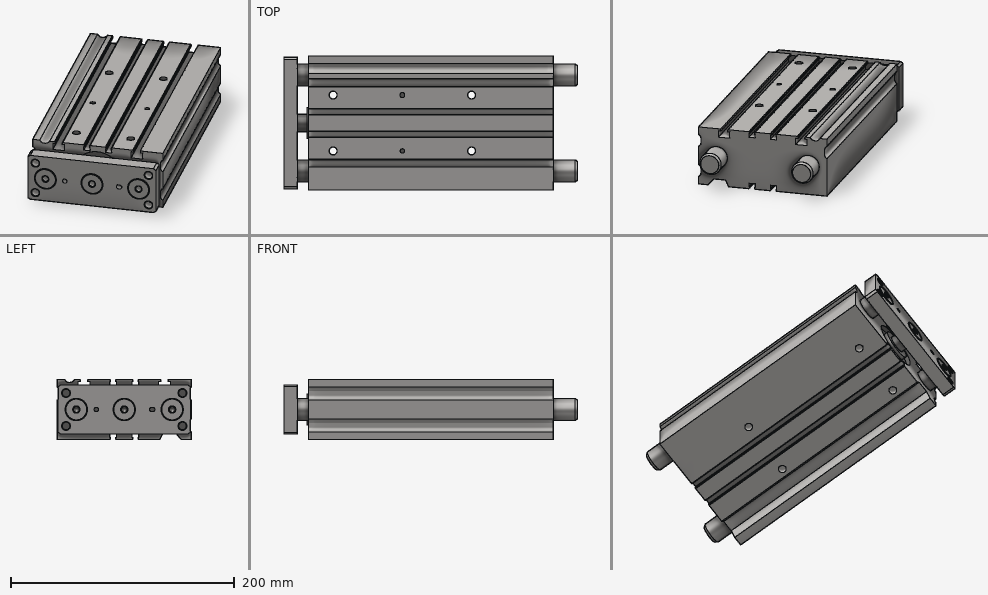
import cadquery as cq
import math

TOTAL_LENGTH = 263.0
HOUSING_WIDTH = 120.0
HOUSING_HEIGHT = 54.0
HOUSING_LENGTH = 219.0
HOUSING_START = 22.0
PLATE_THICKNESS = 12.0
PLATE_WIDTH = 118.0
PLATE_HEIGHT = 44.0
PLATE_CHAMFER_Y = 2.4
PLATE_CHAMFER_Z = 1.5
SIDE_Y = HOUSING_WIDTH / 2
TOP_Z = HOUSING_HEIGHT / 2

GUIDE_Y = 43.0
GUIDE_DIAMETER = 20.0
TAIL_CHAMFER_LENGTH = 2.4
TAIL_CHAMFER_DEPTH = 1.5
FACE_CHAMFER = 0.65
PISTON_DIAMETER = 16.0
PISTON_BORE_DEPTH = 26.3
COLLAR_DIAMETER = 28.0
COLLAR_PROTRUSION = 1.3
COLLAR_RECESS_DIAMETER = 43.1
COLLAR_RECESS_DEPTH = 4.0
COLLAR_SEAT = HOUSING_START + COLLAR_RECESS_DEPTH

SOCKET_DIAMETER = 5.3
SOCKET_CHAMFER = 0.65
SOCKET_DEPTH = 10.5
SOCKET_TIP_ANGLE = 118.0

CORNER_HOLE_Y = 52.0
CORNER_HOLE_Z = 14.7
CORNER_HOLE_DIAMETER = 6.8
CORNER_HOLE_CHAMFER = 0.5

MOUNTING_Y = 25.0
MOUNTING_DIAMETER = 6.8
MOUNTING_START = 22.0
MOUNTING_SPACING = 124.0
PIN_DIAMETER = 4.0
PIN_SLOT_LENGTH = 4.7
PIN_DEPTH = 6.0

SLOT_LIP = 1.97
SLOT_LIP_CHAMFER = 0.65
SENSOR_SLOT_Y = 10.0
SENSOR_SLOT_OPENING = 4.7
SENSOR_SLOT_WIDTH = 5.8
SENSOR_SLOT_DEPTH = 5.3
NUT_SLOT_Y = 36.0
NUT_SLOT_OPENING = 6.3
NUT_SLOT_WIDTH = 10.5
NUT_SLOT_DEPTH = 8.0

SIDE_GROOVE_Z = 14.2
SIDE_GROOVE_MOUTH = 11.5
SIDE_GROOVE_SHOULDER = 10.3
SIDE_GROOVE_FLOOR = 4.0
SIDE_GROOVE_LIP = 0.8
SIDE_GROOVE_DEPTH = 2.24

TOP_GROOVE_OUTER_Y = 53.5
TOP_GROOVE_SHOULDER_Y = 52.0
TOP_GROOVE_FLOOR_OUTER_Y = 49.7
TOP_GROOVE_FLOOR_INNER_Y = 49.0
TOP_GROOVE_INNER_Y = 44.2
TOP_GROOVE_LIP = 1.5
TOP_GROOVE_DEPTH = 2.5

CHANNEL_MOUTH = (-31.8, -51.0)
CHANNEL_FLOOR = (-34.7, -45.8)
CHANNEL_DEPTH = 6.0


def cylinder(diameter, start, end, y=0.0):
    """A cylinder along X, centred on z = 0."""
    return cq.Workplane("YZ", origin=(start, y, 0)).circle(diameter / 2).extrude(end - start)


def through_housing(outline):
    """Extrude a closed outline, drawn in Y and Z, over the housing length."""
    return outline.close().extrude(HOUSING_LENGTH)


def housing_section():
    return cq.Workplane("YZ", origin=(HOUSING_START, 0, 0))


def tee_slot(y, opening, width, depth, face, chamfers=(SLOT_LIP_CHAMFER, SLOT_LIP_CHAMFER)):
    """A T-slot in the top (face = 1) or bottom (face = -1); chamfers are for the -Y and +Y lips."""
    half_opening = opening / 2
    half_width = width / 2
    surface = face * TOP_Z
    lip = face * (TOP_Z - SLOT_LIP)
    floor = face * (TOP_Z - depth)
    low_chamfer, high_chamfer = chamfers
    outline = [(y - half_opening - low_chamfer, surface)]
    if low_chamfer > 0:
        outline.append((y - half_opening, surface - face * low_chamfer))
    outline += [
        (y - half_opening, lip),
        (y - half_width, lip),
        (y - half_width, floor),
        (y + half_width, floor),
        (y + half_width, lip),
        (y + half_opening, lip),
    ]
    if high_chamfer > 0:
        outline.append((y + half_opening, surface - face * high_chamfer))
    outline.append((y + half_opening + high_chamfer, surface))
    return through_housing(housing_section().polyline(outline))


def flank_midpoint(run, rise):
    """Midpoint of an arc that leaves a flat floor tangentially and climbs rise over run."""
    radius = (run**2 + rise**2) / (2 * rise)
    half_angle = math.asin(run / radius) / 2
    return radius * math.sin(half_angle), radius * (1 - math.cos(half_angle))


def side_groove(side, z):
    """A groove with a flat floor and rounded flanks in the +Y (side = 1) or -Y (side = -1) face."""
    mouth = SIDE_GROOVE_MOUTH / 2
    shoulder = SIDE_GROOVE_SHOULDER / 2
    flat = SIDE_GROOVE_FLOOR / 2
    surface = side * SIDE_Y
    lip = side * (SIDE_Y - SIDE_GROOVE_LIP)
    floor = side * (SIDE_Y - SIDE_GROOVE_DEPTH)
    mid_run, mid_rise = flank_midpoint(shoulder - flat, SIDE_GROOVE_DEPTH - SIDE_GROOVE_LIP)
    mid_z = flat + mid_run
    mid_y = floor + side * mid_rise
    outline = (
        housing_section()
        .moveTo(surface, z + mouth)
        .lineTo(lip, z + shoulder)
        .threePointArc((mid_y, z + mid_z), (floor, z + flat))
        .lineTo(floor, z - flat)
        .threePointArc((mid_y, z - mid_z), (lip, z - shoulder))
        .lineTo(surface, z - mouth)
    )
    return through_housing(outline)


def top_groove():
    """A shallow groove with a narrow floor, two rounded flanks and one bevelled rim."""
    floor = TOP_Z - TOP_GROOVE_DEPTH
    outer_run, outer_rise = flank_midpoint(
        TOP_GROOVE_SHOULDER_Y - TOP_GROOVE_FLOOR_OUTER_Y, TOP_GROOVE_DEPTH - TOP_GROOVE_LIP
    )
    inner_run, inner_rise = flank_midpoint(TOP_GROOVE_FLOOR_INNER_Y - TOP_GROOVE_INNER_Y, TOP_GROOVE_DEPTH)
    return through_housing(
        housing_section()
        .moveTo(TOP_GROOVE_OUTER_Y, TOP_Z)
        .lineTo(TOP_GROOVE_SHOULDER_Y, TOP_Z - TOP_GROOVE_LIP)
        .threePointArc(
            (TOP_GROOVE_FLOOR_OUTER_Y + outer_run, floor + outer_rise), (TOP_GROOVE_FLOOR_OUTER_Y, floor)
        )
        .lineTo(TOP_GROOVE_FLOOR_INNER_Y, floor)
        .threePointArc(
            (TOP_GROOVE_FLOOR_INNER_Y - inner_run, floor + inner_rise), (TOP_GROOVE_INNER_Y, TOP_Z)
        )
    )


def bottom_channel():
    """A channel with a flat floor and unequal sloping flanks."""
    floor = CHANNEL_DEPTH - TOP_Z
    return through_housing(
        housing_section().polyline(
            [
                (CHANNEL_MOUTH[0], -TOP_Z),
                (CHANNEL_FLOOR[0], floor),
                (CHANNEL_FLOOR[1], floor),
                (CHANNEL_MOUTH[1], -TOP_Z),
            ]
        )
    )


def make_housing():
    body = housing_section().rect(HOUSING_WIDTH, HOUSING_HEIGHT).extrude(HOUSING_LENGTH)
    for y in (-SENSOR_SLOT_Y, SENSOR_SLOT_Y):
        for face in (-1, 1):
            body = body.cut(tee_slot(y, SENSOR_SLOT_OPENING, SENSOR_SLOT_WIDTH, SENSOR_SLOT_DEPTH, face))
    nut_slot = (NUT_SLOT_OPENING, NUT_SLOT_WIDTH, NUT_SLOT_DEPTH, 1)
    body = body.cut(tee_slot(NUT_SLOT_Y, *nut_slot))
    body = body.cut(tee_slot(-NUT_SLOT_Y, *nut_slot, chamfers=(0, SLOT_LIP_CHAMFER)))
    for side, z in ((-1, SIDE_GROOVE_Z), (-1, -SIDE_GROOVE_Z), (1, SIDE_GROOVE_Z)):
        body = body.cut(side_groove(side, z))
    body = body.cut(top_groove()).cut(bottom_channel())

    body = body.cut(cylinder(COLLAR_RECESS_DIAMETER, HOUSING_START, COLLAR_SEAT))
    for y in (-GUIDE_Y, GUIDE_Y):
        body = body.cut(cylinder(GUIDE_DIAMETER, HOUSING_START, HOUSING_START + HOUSING_LENGTH, y))
    body = body.cut(cylinder(PISTON_DIAMETER, HOUSING_START, HOUSING_START + PISTON_BORE_DEPTH))

    first_x = HOUSING_START + MOUNTING_START
    pin_x = first_x + MOUNTING_SPACING / 2
    mounting = [(first_x + dx, y) for dx in (0, MOUNTING_SPACING) for y in (-MOUNTING_Y, MOUNTING_Y)]
    top = cq.Workplane("XY", origin=(0, 0, TOP_Z))
    body = body.cut(top.pushPoints(mounting).circle(MOUNTING_DIAMETER / 2).extrude(-HOUSING_HEIGHT))
    body = body.cut(top.center(pin_x, -MOUNTING_Y).circle(PIN_DIAMETER / 2).extrude(-PIN_DEPTH))
    slot = top.center(pin_x, MOUNTING_Y).slot2D(PIN_SLOT_LENGTH, PIN_DIAMETER, angle=90)
    return body.cut(slot.extrude(-PIN_DEPTH))


def make_plate():
    half_width = PLATE_WIDTH / 2
    half_height = PLATE_HEIGHT / 2
    corner_y = half_width - PLATE_CHAMFER_Y
    corner_z = half_height - PLATE_CHAMFER_Z
    outline = [
        (-corner_y, -half_height),
        (corner_y, -half_height),
        (half_width, -corner_z),
        (half_width, corner_z),
        (corner_y, half_height),
        (-corner_y, half_height),
        (-half_width, corner_z),
        (-half_width, -corner_z),
    ]
    face = cq.Workplane("YZ")
    plate = face.polyline(outline).close().extrude(PLATE_THICKNESS)
    corners = [(y, z) for y in (-CORNER_HOLE_Y, CORNER_HOLE_Y) for z in (-CORNER_HOLE_Z, CORNER_HOLE_Z)]
    holes = face.pushPoints(corners).circle(CORNER_HOLE_DIAMETER / 2).extrude(PLATE_THICKNESS)
    plate = plate.cut(holes)
    plate = plate.faces("<X").edges("%CIRCLE").chamfer(CORNER_HOLE_CHAMFER)
    plate = plate.cut(cylinder(PIN_DIAMETER, 0, PLATE_THICKNESS, MOUNTING_Y))
    pin_slot = face.center(-MOUNTING_Y, 0).slot2D(PIN_SLOT_LENGTH, PIN_DIAMETER)
    plate = plate.cut(pin_slot.extrude(PLATE_THICKNESS))
    for y in (-GUIDE_Y, 0, GUIDE_Y):
        plate = plate.cut(cylinder(GUIDE_DIAMETER, 0, PLATE_THICKNESS, y))
    return plate


def finish_front_end(rod, y):
    """Chamfer the front rim and cut the threaded socket with its conical bottom."""
    radius = SOCKET_DIAMETER / 2
    mouth = radius + SOCKET_CHAMFER
    tip = SOCKET_DEPTH + radius / math.tan(math.radians(SOCKET_TIP_ANGLE / 2))
    socket = (
        cq.Workplane("XY", origin=(0, y, 0))
        .polyline([(0, 0), (0, mouth), (SOCKET_CHAMFER, radius), (SOCKET_DEPTH, radius), (tip, 0)])
        .close()
        .revolve(360, (0, 0, 0), (1, 0, 0))
    )
    return rod.faces("<X").edges().chamfer(FACE_CHAMFER).cut(socket)


def make_guide_rod(y):
    rod = cylinder(GUIDE_DIAMETER, 0, TOTAL_LENGTH, y)
    rod = rod.faces(">X").edges().chamfer(TAIL_CHAMFER_LENGTH, TAIL_CHAMFER_DEPTH)
    return finish_front_end(rod, y)


def make_piston_rod():
    head = cylinder(GUIDE_DIAMETER, 0, PLATE_THICKNESS)
    shaft = cylinder(PISTON_DIAMETER, PLATE_THICKNESS, HOUSING_START + PISTON_BORE_DEPTH)
    return finish_front_end(head.union(shaft), 0)


def make_collar():
    """A ring around the piston rod, standing on the floor of the recess."""
    start = HOUSING_START - COLLAR_PROTRUSION
    ring = cylinder(COLLAR_DIAMETER, start, COLLAR_SEAT)
    return ring.cut(cylinder(PISTON_DIAMETER, start, COLLAR_SEAT))


housing = make_housing()
plate = make_plate()
guide_rods = [make_guide_rod(y).val() for y in (-GUIDE_Y, GUIDE_Y)]
piston_rod = make_piston_rod()
collar = make_collar()

result = cq.Compound.makeCompound(
    [housing.val(), plate.val(), *guide_rods, piston_rod.val(), collar.val()]
)